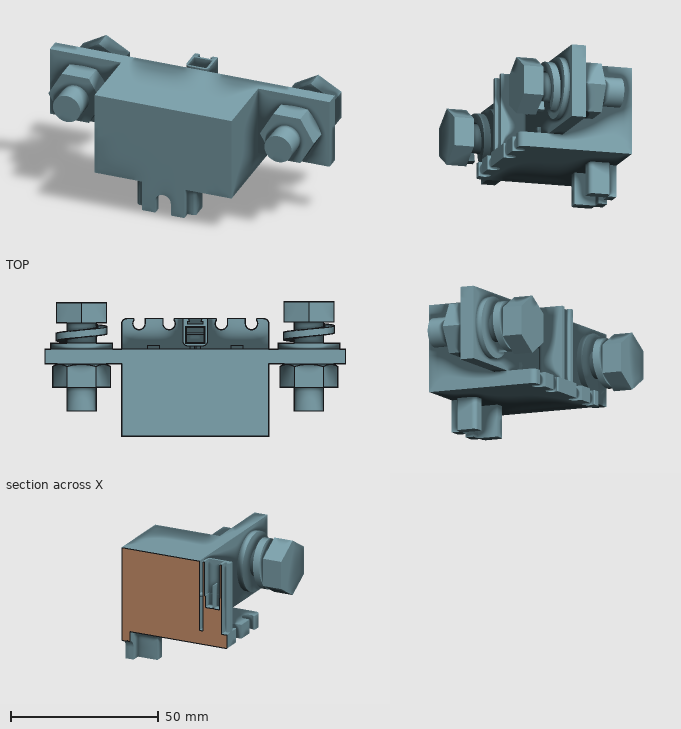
import cadquery as cq
import math


BAR_LENGTH = 102.0
BAR_HEIGHT = 25.0
BAR_THICKNESS = 5.0
BAR_FRONT = 24.6
BAR_REAR = BAR_FRONT + BAR_THICKNESS

BLOCK_WIDTH = 50.0
BASE_THICKNESS = 5.0
BASE_DEPTH = 40.0
BASE_CORNER_RADIUS = 1.8

NOTCH_RADIUS = 2.0
NOTCH_CENTRE_Y = 38.2
NOTCH_LIP_X = 1.6
NOTCH_LIP_RADIUS = 0.4
NOTCH_PAIR_X = 14.0
NOTCH_PAIR_SPACING = 10.2

TAB_X = 14.2
TAB_WIDTH = 4.2
TAB_DEPTH = 1.2
TAB_HEIGHT = 4.2

FOOT_DROP = 11.0
FOOT_WIDTH = 21.4
FOOT_DEPTH = 10.5
FOOT_REAR_RADIUS = 1.5
FOOT_NOSE_WIDTH = 15.5
FOOT_NOSE_DEPTH = 3.1
FOOT_BEVEL_X = 0.8
FOOT_BEVEL_Y = 0.6
FOOT_CHANNEL_WIDTH = 12.2
FOOT_SLOT_WIDTH = 5.6
FOOT_SLOT_HEIGHT = 7.3

CONN_WIDTH = 8.4
CONN_FRONT = 30.7
CONN_CORNER_RADIUS = 1.6
CAVITY_WIDTH = 6.6
CAVITY_FRONT = 31.5
CAVITY_REAR = 37.2
CAVITY_DEPTH = 16.3
CAVITY_STEP = 0.3
CAVITY_STEP_DEPTH = 12.2
BLADE_THICKNESS = 0.4
BLADE_Y = 34.8
BLADE_HEIGHT = 8.2
LATCH_MOUTH_HALF = 2.3
LATCH_LIP_HALF = 1.9
LATCH_HALF = 2.5
LATCH_DEPTH = 1.9
LATCH_LIP_DEPTH = 1.0

PIN_DIAMETER = 1.6
PIN_SPACING = 2.0

BOLT_X = 38.6
BOLT_Z = BAR_HEIGHT / 2
BOLT_DIAMETER = 10.0
BOLT_TIP_Y = 8.6
HEX_FLATS = 17.0
HEX_CORNERS = HEX_FLATS / math.cos(math.radians(30))
HEAD_THICKNESS = 6.9
LEFT_HEAD_SEAT_Y = 38.5
RIGHT_HEAD_SEAT_Y = 38.8
NUT_THICKNESS = 8.0
NUT_SEAT_DIAMETER = 16.5
NUT_CHAMFER_ANGLE = 30
WASHER_DIAMETER = 21.0
WASHER_THICKNESS = 2.0
SPRING_OUTER_DIAMETER = 17.3
SPRING_INNER_DIAMETER = 11.0
SPRING_THICKNESS = 2.4
SPRING_PITCH = 4.6
SPRING_END_ANGLE = 15
SPRING_SEAT_OVERLAP = 0.1


def box(x_min, x_max, y_min, y_max, z_min, z_max):
    size = (x_max - x_min, y_max - y_min, z_max - z_min)
    return cq.Workplane("XY").box(*size, centered=False).translate((x_min, y_min, z_min))


def centred_box(x, width, y_min, y_max, z_min, z_max):
    return box(x - width / 2, x + width / 2, y_min, y_max, z_min, z_max)


def rear_plane(y):
    """Sketch plane at depth y whose extrusions run towards the rear."""
    return cq.Workplane("XZ", origin=(0, y, 0)).transformed(rotate=(180, 0, 0))


def make_block_and_busbar():
    block = centred_box(0, BLOCK_WIDTH, 0, BAR_REAR, -BASE_THICKNESS, BAR_HEIGHT)
    busbar = centred_box(0, BAR_LENGTH, BAR_FRONT, BAR_REAR, 0, BAR_HEIGHT)
    return block.union(busbar)


def make_notch(x, lip_side):
    """Round wire notch: straight on one flank, with a rounded lip on the side lip_side (-1 or +1)."""
    mouth_y = BASE_DEPTH - NOTCH_LIP_RADIUS
    lip = (-NOTCH_LIP_X, mouth_y)
    lip_end = (-NOTCH_LIP_X - NOTCH_LIP_RADIUS, BASE_DEPTH)
    diagonal = NOTCH_LIP_RADIUS * math.sqrt(0.5)
    lip_middle = (lip_end[0] + diagonal, mouth_y + diagonal)
    lip_root_y = NOTCH_CENTRE_Y + math.sqrt(NOTCH_RADIUS**2 - NOTCH_LIP_X**2)
    notch = (
        cq.Workplane("XY", origin=(0, 0, -BASE_THICKNESS))
        .moveTo(NOTCH_RADIUS, BASE_DEPTH)
        .lineTo(*lip_end)
        .threePointArc(lip_middle, lip)
        .lineTo(-NOTCH_LIP_X, lip_root_y)
        .threePointArc((0, NOTCH_CENTRE_Y - NOTCH_RADIUS), (NOTCH_RADIUS, NOTCH_CENTRE_Y))
        .close()
        .extrude(BASE_THICKNESS)
    )
    if lip_side > 0:
        notch = notch.mirror("YZ")
    return notch.translate((x, 0, 0))


def make_base():
    base = centred_box(0, BLOCK_WIDTH, 0, BASE_DEPTH, -BASE_THICKNESS, 0)
    base = base.edges("|Z and >Y").fillet(BASE_CORNER_RADIUS)
    for pair_x in (-NOTCH_PAIR_X, NOTCH_PAIR_X):
        for side in (-1, 1):
            base = base.cut(make_notch(pair_x + side * NOTCH_PAIR_SPACING / 2, side))
    return base


def make_foot():
    bottom = -BASE_THICKNESS - FOOT_DROP
    half_width = FOOT_WIDTH / 2
    half_nose = FOOT_NOSE_WIDTH / 2
    right_side = [
        (half_nose, 0),
        (half_nose, FOOT_NOSE_DEPTH),
        (half_width - FOOT_BEVEL_X, FOOT_NOSE_DEPTH),
        (half_width, FOOT_NOSE_DEPTH + FOOT_BEVEL_Y),
        (half_width, FOOT_DEPTH),
    ]
    left_side = [(-x, y) for x, y in reversed(right_side)]
    foot = (
        cq.Workplane("XY", origin=(0, 0, bottom))
        .polyline(right_side + left_side)
        .close()
        .extrude(FOOT_DROP)
        .edges("|Z and >Y")
        .fillet(FOOT_REAR_RADIUS)
    )
    channel = centred_box(0, FOOT_CHANNEL_WIDTH, FOOT_NOSE_DEPTH, FOOT_DEPTH, bottom, -BASE_THICKNESS)

    arch_z = bottom + FOOT_SLOT_HEIGHT - FOOT_SLOT_WIDTH / 2
    slot = centred_box(0, FOOT_SLOT_WIDTH, 0, FOOT_NOSE_DEPTH, bottom, arch_z)
    arch = cq.Workplane("XZ").center(0, arch_z).circle(FOOT_SLOT_WIDTH / 2).extrude(-FOOT_NOSE_DEPTH)
    return foot.cut(channel).cut(slot).cut(arch)


def make_connector():
    body = centred_box(0, CONN_WIDTH, CONN_FRONT, BASE_DEPTH, 0, BAR_HEIGHT)
    body = body.edges("|Z and <Y").fillet(CONN_CORNER_RADIUS)

    step_z = BAR_HEIGHT - CAVITY_STEP_DEPTH
    floor_z = BAR_HEIGHT - CAVITY_DEPTH
    socket = centred_box(0, CAVITY_WIDTH, CAVITY_FRONT, CAVITY_REAR, step_z, BAR_HEIGHT)
    lower_socket = centred_box(
        0,
        CAVITY_WIDTH - 2 * CAVITY_STEP,
        CAVITY_FRONT + CAVITY_STEP,
        CAVITY_REAR - CAVITY_STEP,
        floor_z,
        step_z,
    )
    blade = centred_box(
        0,
        CAVITY_WIDTH - 2 * CAVITY_STEP,
        BLADE_Y - BLADE_THICKNESS / 2,
        BLADE_Y + BLADE_THICKNESS / 2,
        floor_z,
        floor_z + BLADE_HEIGHT,
    )

    lip_y = BASE_DEPTH - LATCH_LIP_DEPTH
    floor_y = BASE_DEPTH - LATCH_DEPTH
    right_side = [
        (LATCH_MOUTH_HALF, BASE_DEPTH),
        (LATCH_LIP_HALF, lip_y),
        (LATCH_HALF, lip_y),
        (LATCH_HALF, floor_y),
    ]
    left_side = [(-x, y) for x, y in reversed(right_side)]
    groove = cq.Workplane("XY").polyline(right_side + left_side).close().extrude(BAR_HEIGHT)

    return body.cut(socket).cut(lower_socket).union(blade).cut(groove)


def make_pins():
    return (
        rear_plane(BAR_REAR)
        .pushPoints([(side * PIN_SPACING / 2, -BOLT_Z) for side in (-1, 1)])
        .circle(PIN_DIAMETER / 2)
        .extrude(CONN_FRONT - BAR_REAR)
    )


def make_tabs():
    tabs = centred_box(-TAB_X, TAB_WIDTH, BAR_REAR, BAR_REAR + TAB_DEPTH, 0, TAB_HEIGHT)
    return tabs.union(tabs.mirror("YZ"))




def make_nut():
    front_y = BAR_FRONT - NUT_THICKNESS
    nut = rear_plane(front_y).polygon(6, HEX_CORNERS).extrude(NUT_THICKNESS)
    seat_radius = NUT_SEAT_DIAMETER / 2
    slope = math.tan(math.radians(NUT_CHAMFER_ANGLE))
    cone = (
        cq.Workplane("XY")
        .polyline(
            [
                (0, front_y),
                (seat_radius + NUT_THICKNESS / slope, front_y),
                (seat_radius, BAR_FRONT),
                (0, BAR_FRONT),
            ]
        )
        .close()
        .revolve(360, (0, 0, 0), (0, 1, 0))
    )
    return nut.intersect(cone)


def make_spring_washer(seat_y):
    """One turn of a flat helical band; its ends lie just past the lowest point."""
    inner_radius = SPRING_INNER_DIAMETER / 2
    outer_radius = SPRING_OUTER_DIAMETER / 2
    helix = cq.Wire.makeHelix(SPRING_PITCH, SPRING_PITCH, (inner_radius + outer_radius) / 2)
    band = (
        cq.Workplane("XZ")
        .moveTo(inner_radius, 0)
        .lineTo(outer_radius, 0)
        .lineTo(outer_radius, SPRING_THICKNESS)
        .lineTo(inner_radius, SPRING_THICKNESS)
        .close()
        .sweep(cq.Workplane(helix), isFrenet=True)
    )
    band = band.rotate((0, 0, 0), (1, 0, 0), -90)
    band = band.rotate((0, 0, 0), (0, 1, 0), 90 + SPRING_END_ANGLE)
    return band.translate((0, seat_y, 0))


def make_terminal(x, head_seat_y):
    shank_length = head_seat_y - BOLT_TIP_Y
    shank = rear_plane(BOLT_TIP_Y).circle(BOLT_DIAMETER / 2).extrude(shank_length)
    head = (
        rear_plane(head_seat_y)
        .transformed(rotate=(0, 0, 30))
        .polygon(6, HEX_CORNERS)
        .extrude(HEAD_THICKNESS)
    )
    washer = rear_plane(BAR_REAR).circle(WASHER_DIAMETER / 2).extrude(WASHER_THICKNESS)
    spring_height = SPRING_PITCH + SPRING_THICKNESS
    spring = make_spring_washer(head_seat_y + SPRING_SEAT_OVERLAP - spring_height)
    terminal = shank.union(head).union(washer).union(make_nut()).union(spring)
    return terminal.translate((x, 0, BOLT_Z))


result = (
    make_block_and_busbar()
    .union(make_base())
    .union(make_foot())
    .union(make_connector())
    .union(make_pins())
    .union(make_tabs())
    .union(make_terminal(-BOLT_X, LEFT_HEAD_SEAT_Y))
    .union(make_terminal(BOLT_X, RIGHT_HEAD_SEAT_Y))
)